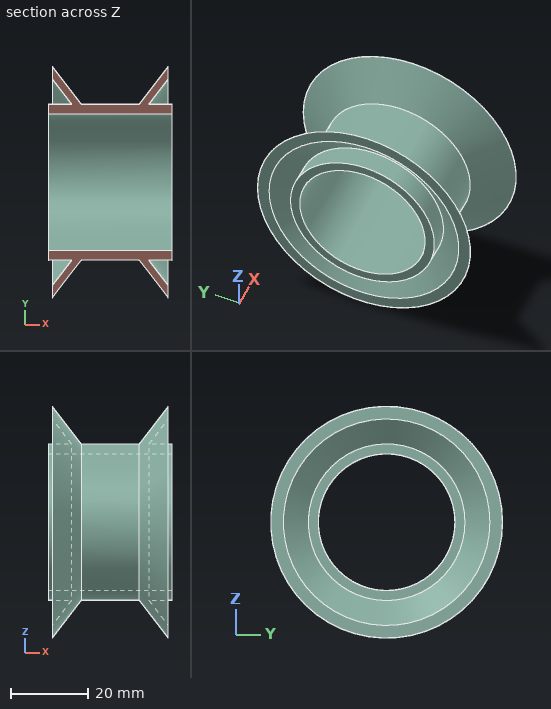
import cadquery as cq

total_length = 32.0
rim_span = 30.0
barrel_span = 15.0
rim_diameter = 60.0
rim_inner_diameter = 53.4
barrel_diameter = 40.5
bore_diameter = 35.3

rim_radius = rim_diameter / 2
rim_inner_radius = rim_inner_diameter / 2
barrel_radius = barrel_diameter / 2
rim_x = rim_span / 2
flange_root_x = barrel_span / 2

cone_run_per_rise = (rim_x - flange_root_x) / (rim_radius - barrel_radius)
recess_depth = (rim_inner_radius - barrel_radius) * cone_run_per_rise


def make_barrel():
    """Solid cylinder over the full length."""
    return cq.Workplane("YZ").circle(barrel_radius).extrude(total_length / 2, both=True)


def make_flange(side):
    """Conical flange flaring outward towards +X (side = 1) or -X (side = -1)."""
    core_radius = (bore_diameter / 2 + barrel_radius) / 2
    profile = [
        (side * flange_root_x, core_radius),
        (side * flange_root_x, barrel_radius),
        (side * rim_x, rim_radius),
        (side * rim_x, rim_inner_radius),
        (side * (rim_x - recess_depth), barrel_radius),
        (side * (rim_x - recess_depth), core_radius),
    ]
    return cq.Workplane("XY").polyline(profile).close().revolve(360, (0, 0, 0), (1, 0, 0))


def make_bore():
    """Through bore along the axis."""
    return cq.Workplane("YZ").circle(bore_diameter / 2).extrude(total_length / 2, both=True)


roller = make_barrel()
for side in (-1, 1):
    roller = roller.union(make_flange(side))

result = roller.cut(make_bore())